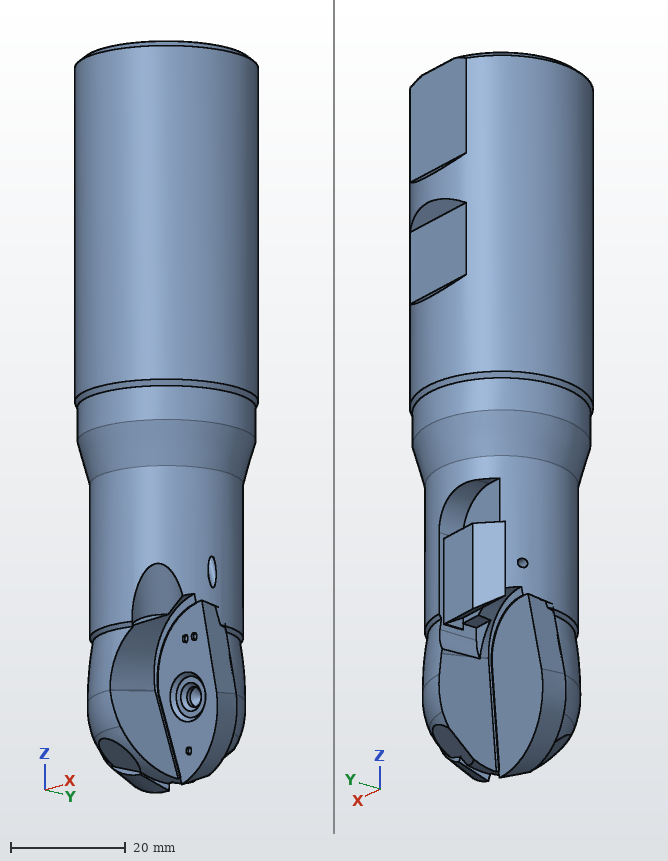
import cadquery as cq
import math


total_length = 131
shank_radius = 16.0
top_chamfer_width = 1.5
top_chamfer_height = 1.2
shank_bottom_z = 70.0
collar_radius = 31.0 / 2
collar_top_z = 68.9
collar_bottom_z = 62.9
neck_radius = 13.4
neck_top_z = 55.1
neck_bottom_z = 27.5
step_radius = 12.8
step_z = 26.7
nose_radius = 13.8
belt_radius = nose_radius
belt_z = 15.8
shoulder_middle = (13.5, 12.3)
shoulder_bottom = (12.6, 9.3)
nose_center_z = 15.0

flat_y = 13.8
flat_slope = shank_radius - flat_y
end_flat_z = 111.9
middle_flat_bottom_z = 88.8
middle_flat_top_z = 102.4

rake_angle = 9.5
ball_radius = 14.9
insert_thickness = 6.0
insert_relief_angle = 11
outer_tip_x = 3.9
outer_top = (14.0, 31.3)
outer_back = (4.6, 26.9)
outer_inner = (0.8, 17)
center_tip_x = -0.7
center_top = (14.1, 29.0)
center_back = (5.5, 27.0)
center_inner = (1.6, 20.5)
gullet_margin = 0.8
gullet_lift = 0.9
gullet_depth = 26.2

screw_x = 7.9
screw_height = 15.3
head_diameter = 7.2
head_recess = 0.8
head_bottom = 3.4
shaft_diameter = 5.2
shaft_end = 10.5
mouth_diameter = 8.6
socket_rim_diameter = 5.0
socket_diameter = 3.5
socket_rim_depth = 0.8
socket_depth = 1.6

dimple_diameter = 1.3
dimple_depth = 0.5
dimple_points = [(8.9, 25.4), (11.1, 25.4), (6.5, 6.0)]

runout_radius = 4.7
runout_angle = 28
runout_lean = 20
runout_top = (11.0, -9.4, 37.5)
runout_length = 9.8

slot_floor_y = 8.3
slot_lower_floor_y = 5.2
slot_step_z = 27.0
slot_wall_x = 0.3
slot_end_radius = 7.9
slot_top_z = 50.8
slot_bottom_z = 16.8

block_outer_x = -12.2
block_outer_y = 12.3
block_bottom_z = 25.8
block_top_z = 42.0
block_underside_rise = 2.2

nose_flat_direction = (-0.29, -0.6, -0.77)
nose_flat_distance = 13.0
nose_flat_size = 15.7
coolant_diameter = 1.7
coolant_y = 4.7
coolant_z = 35.0
coolant_depth = 3.9
outer_coolant_mouth = (13.4, -1.8, 36.3)
outer_coolant_angle = 18
outer_coolant_length = 7.9

outer_shape = (outer_tip_x, outer_top, outer_back, outer_inner)
center_shape = (center_tip_x, center_top, center_back, center_inner)

rake = math.radians(rake_angle)
face_plane = cq.Plane(
    origin=(0, 0, 0), xDir=(1, 0, 0), normal=(0, -math.cos(rake), -math.sin(rake))
)


def opposite(body):
    """Turn a body half a turn about the tool axis."""
    return body.rotate((0, 0, 0), (0, 0, 1), 180)


def insert_outline(tip_x, top, back, inner):
    """Cutting-face outline: ball arc, outer edge, curved back and straight inner edge."""
    tip_height = ball_radius - math.sqrt(ball_radius**2 - tip_x**2)
    arc_middle = (ball_radius * math.sin(math.pi / 4), ball_radius * (1 - math.cos(math.pi / 4)))
    return (
        cq.Workplane(face_plane)
        .moveTo(tip_x, tip_height)
        .threePointArc(arc_middle, (ball_radius, ball_radius))
        .lineTo(*top)
        .threePointArc(back, inner)
        .close()
    )


def insert_blank(tip_x, top, back, inner):
    """Insert that narrows away from its cutting face."""
    return insert_outline(tip_x, top, back, inner).extrude(-insert_thickness, taper=insert_relief_angle)


def gullet(tip_x, top, back, inner):
    """Chip space in front of the insert face, wider than the insert."""
    outline = insert_outline(tip_x, top, back, inner).offset2D(gullet_margin)
    return outline.extrude(gullet_depth).translate((0, 0, gullet_lift))


def make_screw():
    """Screw turned about its own axis, with a conical-bottomed socket."""
    profile = (
        cq.Workplane("XZ")
        .moveTo(0, -head_recess - socket_depth - socket_diameter / 2)
        .lineTo(socket_diameter / 2, -head_recess - socket_depth)
        .lineTo(socket_diameter / 2, -head_recess - socket_rim_depth)
        .lineTo(socket_rim_diameter / 2, -head_recess)
        .lineTo(head_diameter / 2, -head_recess)
        .lineTo(head_diameter / 2, -head_bottom)
        .lineTo(shaft_diameter / 2, -head_bottom)
        .lineTo(shaft_diameter / 2, -shaft_end)
        .lineTo(0, -shaft_end)
        .close()
    )
    return profile.revolve(360, (0, 0), (0, 1))


def make_screw_space():
    """Stepped hole for the screw, with a conical mouth at the insert face."""
    profile = (
        cq.Workplane("XZ")
        .lineTo(mouth_diameter / 2, 0)
        .lineTo(head_diameter / 2, -head_recess)
        .lineTo(head_diameter / 2, -head_bottom)
        .lineTo(shaft_diameter / 2, -head_bottom)
        .lineTo(shaft_diameter / 2, -shaft_end)
        .lineTo(0, -shaft_end)
        .close()
    )
    return profile.revolve(360, (0, 0), (0, 1))


def at_screw_position(body):
    """Move a body from the origin, axis along Z, to the screw axis of the outer insert."""
    seat = cq.Plane(
        origin=face_plane.toWorldCoords((screw_x, screw_height)),
        xDir=face_plane.xDir,
        normal=face_plane.zDir,
    )
    return cq.Workplane(body.val().moved(cq.Location(seat)))


def make_outer_insert(screw_space):
    """Insert on the +X side, with its screw hole and dimples."""
    dimples = cq.Workplane(face_plane).pushPoints(dimple_points).circle(dimple_diameter / 2)
    return insert_blank(*outer_shape).cut(screw_space).cut(dimples.extrude(-dimple_depth))


def make_turned_holder():
    """Shank, collar, neck and ball nose."""
    waist_z = (step_z + belt_z) / 2
    waist_radius = belt_radius - (belt_radius - step_radius) / 4
    diagonal = nose_radius * math.sin(math.pi / 4)
    return (
        cq.Workplane("XZ")
        .moveTo(0, total_length)
        .lineTo(shank_radius - top_chamfer_width, total_length)
        .lineTo(shank_radius, total_length - top_chamfer_height)
        .lineTo(shank_radius, shank_bottom_z)
        .lineTo(collar_radius, collar_top_z)
        .lineTo(collar_radius, collar_bottom_z)
        .lineTo(neck_radius, neck_top_z)
        .lineTo(neck_radius, neck_bottom_z)
        .lineTo(step_radius, step_z)
        .threePointArc((waist_radius, waist_z), (belt_radius, belt_z))
        .threePointArc(shoulder_middle, shoulder_bottom)
        .threePointArc((diagonal, nose_center_z - diagonal), (0, nose_center_z - nose_radius))
        .close()
        .revolve(360, (0, 0), (0, 1))
    )


def shank_flats():
    """Clamping flats on the +Y side, with 45 degree ends."""
    end_flat = (
        cq.Workplane("YZ")
        .moveTo(flat_y, total_length)
        .lineTo(flat_y, end_flat_z)
        .lineTo(flat_y + flat_slope, end_flat_z - flat_slope)
        .lineTo(flat_y + flat_slope, total_length)
        .close()
        .extrude(shank_radius, both=True)
    )
    middle_flat = (
        cq.Workplane("YZ")
        .moveTo(flat_y, middle_flat_top_z)
        .lineTo(flat_y, middle_flat_bottom_z)
        .lineTo(flat_y + flat_slope, middle_flat_bottom_z - flat_slope)
        .lineTo(flat_y + flat_slope, middle_flat_top_z + flat_slope)
        .close()
        .extrude(shank_radius, both=True)
    )
    return end_flat.union(middle_flat)


def gullet_runout():
    """Sloping round groove that leads the outer gullet out through the neck."""
    slope = math.radians(runout_angle)
    lean = math.radians(runout_lean)
    axis = cq.Vector(math.tan(lean), -math.sin(slope), math.cos(slope)).normalized()
    outward = cq.Vector(0, -math.cos(slope), -math.sin(slope))
    start = cq.Vector(*runout_top) + outward * runout_radius - axis * runout_length
    return cq.Workplane(cq.Solid.makeCylinder(runout_radius, 2 * runout_length, start, axis))


def slot_space(floor_y):
    """Space on the +Y side of a floor, with a straight wall between two round ends."""
    diagonal = slot_end_radius * math.sin(math.pi / 4)
    center_x = slot_wall_x - slot_end_radius
    upper_z = slot_top_z - slot_end_radius
    lower_z = slot_bottom_z + slot_end_radius
    return (
        cq.Workplane("XZ", origin=(0, floor_y, 0))
        .moveTo(slot_wall_x, lower_z)
        .lineTo(slot_wall_x, upper_z)
        .threePointArc((center_x + diagonal, upper_z + diagonal), (center_x, slot_top_z))
        .lineTo(-shank_radius, slot_top_z)
        .lineTo(-shank_radius, slot_bottom_z)
        .lineTo(center_x, slot_bottom_z)
        .threePointArc((center_x + diagonal, lower_z - diagonal), (slot_wall_x, lower_z))
        .close()
        .extrude(-shank_radius)
    )


def chip_slot():
    """Slot above the center insert; its floor is deeper at the lower end."""
    lower_end = cq.Workplane("XY").rect(2 * shank_radius, 2 * shank_radius).extrude(slot_step_z)
    return slot_space(slot_floor_y).union(slot_space(slot_lower_floor_y).intersect(lower_end))


def slot_block():
    """Raised block in the chip slot, with a 45 degree outer face and a sloping underside."""
    run = block_outer_y - slot_floor_y
    block = (
        cq.Workplane("XY", origin=(0, 0, block_bottom_z))
        .moveTo(slot_wall_x, slot_floor_y)
        .lineTo(block_outer_x, slot_floor_y)
        .lineTo(block_outer_x + run, block_outer_y)
        .lineTo(slot_wall_x, block_outer_y)
        .close()
        .extrude(block_top_z - block_bottom_z)
    )
    underside = (
        cq.Workplane("YZ")
        .moveTo(slot_floor_y, block_bottom_z)
        .lineTo(block_outer_y, block_bottom_z)
        .lineTo(slot_floor_y, block_bottom_z + block_underside_rise)
        .close()
        .extrude(-shank_radius)
    )
    return block.cut(underside)


def nose_flat():
    """Oblique clearance cut on the nose behind the center insert."""
    direction = cq.Vector(*nose_flat_direction).normalized()
    origin = cq.Vector(0, 0, nose_center_z) + direction * nose_flat_distance
    plane = cq.Plane(origin=origin, normal=direction)
    return cq.Workplane(plane).rect(nose_flat_size, nose_flat_size).extrude(nose_flat_size)


def coolant_holes():
    """Blind hole on the -X side and steep hole on the +X side that points down at the insert."""
    center_hole = (
        cq.Workplane("YZ", origin=(-neck_radius, coolant_y, coolant_z))
        .circle(coolant_diameter / 2)
        .extrude(coolant_depth)
    )
    tilt = math.radians(outer_coolant_angle)
    axis = cq.Vector(-math.sin(tilt), 0, math.cos(tilt))
    start = cq.Vector(*outer_coolant_mouth) - axis * outer_coolant_length
    outer_hole = cq.Solid.makeCylinder(coolant_diameter / 2, 2 * outer_coolant_length, start, axis)
    return center_hole.union(cq.Workplane(outer_hole))


def make_holder(outer_seat, center_seat, screw_space):
    """Turned holder with flats, gullets, insert seats and screw hole."""
    holder = make_turned_holder().cut(shank_flats())
    holder = holder.cut(gullet(*outer_shape)).cut(gullet_runout())
    holder = holder.cut(opposite(gullet(*center_shape))).cut(chip_slot())
    holder = holder.union(slot_block())
    holder = holder.cut(nose_flat()).cut(opposite(nose_flat())).cut(coolant_holes())
    return holder.cut(outer_seat).cut(center_seat).cut(screw_space)


screw = at_screw_position(make_screw())
screw_space = at_screw_position(make_screw_space())
outer_insert = make_outer_insert(screw_space)
center_insert = opposite(insert_blank(*center_shape))
holder = make_holder(insert_blank(*outer_shape), center_insert, screw_space)

result = cq.Compound.makeCompound(
    [holder.val(), outer_insert.val(), center_insert.val(), screw.val()]
)